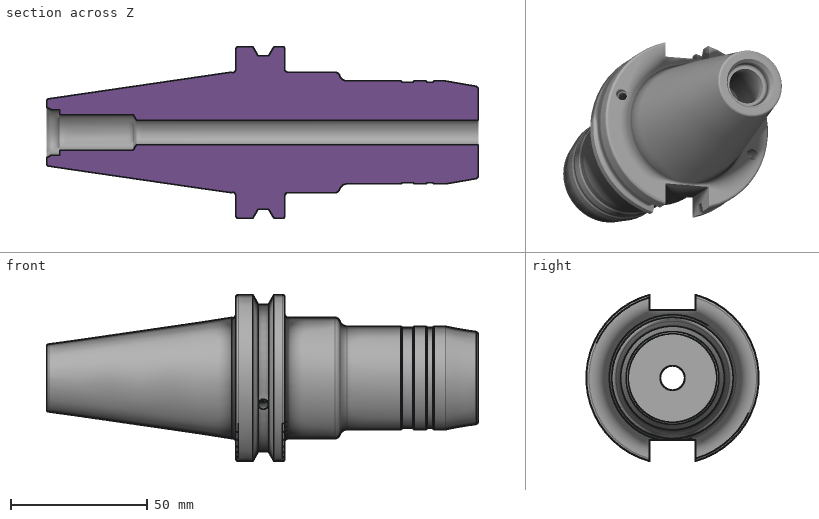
import cadquery as cq
import math

length = 158.2

taper_ratio = 7 / 24
gauge_diameter = 44.5
shank_end_fillet = 0.8
neck_diameter = 43.8
neck_fillet = 1.5

flange_diameter = 63.3
flange_start = 69.3
flange_end = 87.4
flange_fillet = 1.0
v_center = 79.5
v_floor_width = 3.8
v_floor_diameter = 56.5
v_wall_angle = 30.0

body_diameter = 44.5
body_fillet = 1.0
shoulder_start = 105.5
shoulder_convex_radius = 2.0
shoulder_concave_radius = 2.7
nose_diameter = 38.0
ring_groove_diameter = 37.0
ring_grooves = [(130.1, 134.5), (139.3, 141.8)]
nose_cone_start = 146.0
nose_end_diameter = 34.0
nose_end_chamfer = 0.8

mouth_diameter = 16.5
mouth_chamfer_depth = 1.0
mouth_chamfer_length = 1.7
mouth_depth = 4.7
thread_diameter = 13.0
thread_depth = 31.6
through_diameter = 8.9
drill_point_angle = 118.0

slot_width = 16.8
top_slot_floor = 25.0
bottom_slot_floor = 22.8
dimple_diameter = 9.5

channel_angle = 20.0
inclined_hole_tilt = 30.0
inclined_hole_entry_radius = 27.0
inclined_hole_diameter = 3.2
inclined_mouth_diameter = 4.0
inclined_mouth_depth = 1.6
radial_hole_diameter = 3.8


def turned_body():
    gauge_radius = gauge_diameter / 2
    neck_radius = neck_diameter / 2
    neck_start = flange_start - neck_fillet
    taper_start_radius = gauge_radius - (neck_start - shank_end_fillet) * taper_ratio / 2
    flange_radius = flange_diameter / 2
    flange_face_radius = flange_radius - flange_fillet
    floor_radius = v_floor_diameter / 2
    floor_start = v_center - v_floor_width / 2
    floor_end = v_center + v_floor_width / 2
    wall_run = (flange_radius - floor_radius) * math.tan(math.radians(v_wall_angle))
    body_radius = body_diameter / 2
    nose_radius = nose_diameter / 2
    ring_radius = ring_groove_diameter / 2
    end_radius = nose_end_diameter / 2

    drop = body_radius - nose_radius
    radius_sum = shoulder_convex_radius + shoulder_concave_radius
    turn = math.acos(1 - drop / radius_sum)
    convex_mid = (
        shoulder_start + shoulder_convex_radius * math.sin(turn / 2),
        body_radius - shoulder_convex_radius * (1 - math.cos(turn / 2)),
    )
    shoulder_inflection = (
        shoulder_start + shoulder_convex_radius * math.sin(turn),
        body_radius - shoulder_convex_radius * (1 - math.cos(turn)),
    )
    shoulder_end = shoulder_start + radius_sum * math.sin(turn)
    concave_mid = (
        shoulder_end - shoulder_concave_radius * math.sin(turn / 2),
        nose_radius + shoulder_concave_radius * (1 - math.cos(turn / 2)),
    )

    outline = (
        cq.Workplane("XY")
        .moveTo(0, 0)
        .lineTo(0, taper_start_radius - shank_end_fillet)
        .radiusArc((shank_end_fillet, taper_start_radius), shank_end_fillet)
        .lineTo(neck_start, gauge_radius)
        .lineTo(neck_start, neck_radius)
        .radiusArc((flange_start, neck_radius + neck_fillet), -neck_fillet)
        .lineTo(flange_start, flange_face_radius)
        .radiusArc((flange_start + flange_fillet, flange_radius), flange_fillet)
        .lineTo(floor_start - wall_run, flange_radius)
        .lineTo(floor_start, floor_radius)
        .lineTo(floor_end, floor_radius)
        .lineTo(floor_end + wall_run, flange_radius)
        .lineTo(flange_end - flange_fillet, flange_radius)
        .radiusArc((flange_end, flange_face_radius), flange_fillet)
        .lineTo(flange_end, body_radius + body_fillet)
        .radiusArc((flange_end + body_fillet, body_radius), -body_fillet)
        .lineTo(shoulder_start, body_radius)
        .threePointArc(convex_mid, shoulder_inflection)
        .threePointArc(concave_mid, (shoulder_end, nose_radius))
    )
    groove_depth = nose_radius - ring_radius
    for start, end in ring_grooves:
        outline = (
            outline.lineTo(start - groove_depth / 2, nose_radius)
            .lineTo(start + groove_depth / 2, ring_radius)
            .lineTo(end - groove_depth / 2, ring_radius)
            .lineTo(end + groove_depth / 2, nose_radius)
        )
    outline = (
        outline.lineTo(nose_cone_start, nose_radius)
        .lineTo(length - nose_end_chamfer, end_radius)
        .lineTo(length, end_radius - nose_end_chamfer)
        .lineTo(length, 0)
        .close()
    )
    return outline.revolve(360, (0, 0, 0), (1, 0, 0))


def axial_bore():
    mouth_radius = mouth_diameter / 2
    thread_radius = thread_diameter / 2
    through_radius = through_diameter / 2
    cone_length = (thread_radius - through_radius) / math.tan(math.radians(drill_point_angle / 2))
    return (
        cq.Workplane("XY")
        .moveTo(0, 0)
        .lineTo(0, mouth_radius + mouth_chamfer_depth)
        .lineTo(mouth_chamfer_length, mouth_radius)
        .lineTo(mouth_depth, mouth_radius)
        .lineTo(mouth_depth, thread_radius)
        .lineTo(thread_depth, thread_radius)
        .lineTo(thread_depth + cone_length, through_radius)
        .lineTo(length, through_radius)
        .lineTo(length, 0)
        .close()
        .revolve(360, (0, 0, 0), (1, 0, 0))
    )


def drive_slot(floor_z, direction):
    slot_start = flange_start - neck_fillet
    slot_end = flange_end + body_fillet
    slot_height = flange_diameter / 2
    slot = cq.Workplane("XY").box(slot_end - slot_start, slot_width, slot_height)
    center_x = (slot_start + slot_end) / 2
    return slot.translate((center_x, 0, direction * (floor_z + slot_height / 2)))


def dimple():
    radius = dimple_diameter / 2
    depth = radius / math.tan(math.radians(drill_point_angle / 2))
    cone = cq.Solid.makeCone(
        radius, 0, depth, cq.Vector(v_center, 0, top_slot_floor), cq.Vector(0, 0, -1)
    )
    return cq.Workplane(obj=cone)


def coolant_channel(angle):
    """Hole tilted inward from the flange face, met by a radial hole from the V-groove floor."""
    along = cq.Vector(1, 0, 0)
    outward = cq.Vector(0, math.cos(math.radians(angle)), math.sin(math.radians(angle)))
    tilt = math.radians(inclined_hole_tilt)
    direction = along * math.cos(tilt) - outward * math.sin(tilt)
    entry = along * flange_start + outward * inclined_hole_entry_radius

    lead = inclined_mouth_diameter
    mouth = cq.Solid.makeCylinder(
        inclined_mouth_diameter / 2, lead + inclined_mouth_depth, entry - direction * lead, direction
    )

    run = v_center - flange_start
    meeting_radius = inclined_hole_entry_radius - run * math.tan(tilt)
    inclined_hole = cq.Solid.makeCylinder(
        inclined_hole_diameter / 2, run / math.cos(tilt), entry, direction
    )
    radial_hole = cq.Solid.makeCylinder(
        radial_hole_diameter / 2,
        flange_diameter / 2 - meeting_radius,
        along * v_center + outward * meeting_radius,
        outward,
    )
    return cq.Workplane(obj=mouth.fuse(inclined_hole, radial_hole))


result = turned_body().cut(axial_bore())
result = result.cut(drive_slot(top_slot_floor, 1)).cut(drive_slot(bottom_slot_floor, -1))
result = result.cut(dimple())
for angle in (channel_angle, channel_angle + 180):
    result = result.cut(coolant_channel(angle))